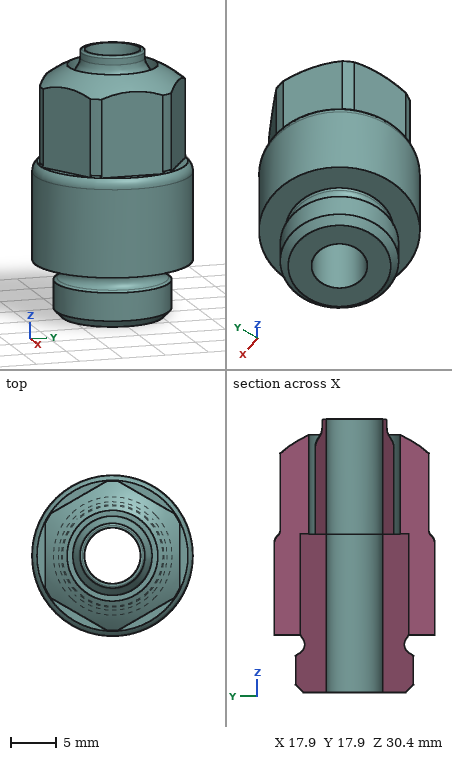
import cadquery as cq
import math

total_height = 30.4
nut_top_z = 28.67
relief_top_z = 17.85
collar_top_z = 17.6
collar_round_z = 16.48
collar_bottom_z = 6.38
groove_top_z = 6.15
groove_waist_z = 5.38
groove_bottom_z = 4.35
thread_top_z = 4.1

across_flats = 15.0
corner_diameter = 16.6
dome_radius = 12.45
mouth_diameter = 10.1
collar_diameter = 17.9
shoulder_diameter = 16.78

thread_diameter = 13.15
end_chamfer = 0.88
shank_diameter = 12.07
groove_top_diameter = 11.83
waist_diameter = 11.15
groove_bottom_diameter = 12.4

bore_diameter = 6.2
tip_diameter = 7.2
stem_diameter = 8.82
tip_edge_round = 0.2
flare_top_z = 29.45
flare_bottom_z = 27.2


def revolve_about_z(outline):
    """Turn a closed outline drawn as (radius, height) about the Z axis."""
    return outline.close().revolve(360, (0, 0, 0), (0, 1, 0))


def cylinder(diameter, bottom_z, top_z):
    return cq.Workplane("XY").workplane(offset=bottom_z).circle(diameter / 2).extrude(top_z - bottom_z)


def arc_middle(center, radius, start_angle, end_angle):
    """Point halfway along an arc, with the angles in radians."""
    angle = (start_angle + end_angle) / 2
    return (center[0] + radius * math.cos(angle), center[1] + radius * math.sin(angle))


def make_nut_blank():
    """Turned outside of the nut: collar, corner cylinder and spherical dome."""
    mouth_r = mouth_diameter / 2
    corner_r = corner_diameter / 2
    shoulder_r = shoulder_diameter / 2
    collar_r = collar_diameter / 2

    edge_rise = collar_top_z - collar_round_z
    edge_inset = collar_r - shoulder_r
    edge_radius = (edge_rise**2 + edge_inset**2) / (2 * edge_inset)
    edge_center = (collar_r - edge_radius, collar_round_z)
    edge_middle = arc_middle(edge_center, edge_radius, 0, math.asin(edge_rise / edge_radius))

    dome_top_angle = math.acos(mouth_r / dome_radius)
    dome_bottom_angle = math.acos(corner_r / dome_radius)
    dome_center_z = nut_top_z - dome_radius * math.sin(dome_top_angle)
    dome_bottom_z = dome_center_z + dome_radius * math.sin(dome_bottom_angle)
    dome_middle = arc_middle((0, dome_center_z), dome_radius, dome_bottom_angle, dome_top_angle)

    outline = (
        cq.Workplane("XZ")
        .moveTo(0, collar_bottom_z)
        .lineTo(collar_r, collar_bottom_z)
        .lineTo(collar_r, collar_round_z)
        .threePointArc(edge_middle, (shoulder_r, collar_top_z))
        .lineTo(corner_r, relief_top_z)
        .lineTo(corner_r, dome_bottom_z)
        .threePointArc(dome_middle, (mouth_r, nut_top_z))
        .lineTo(0, nut_top_z)
    )
    return revolve_about_z(outline)


def make_flats_cutter():
    """Ring above the shoulder that leaves a hexagon with corners on the Y axis."""
    hexagon = (
        cq.Workplane("XY")
        .workplane(offset=collar_top_z)
        .transformed(rotate=(0, 0, 90))
        .polygon(6, across_flats / math.cos(math.pi / 6))
        .extrude(nut_top_z - collar_top_z)
    )
    return cylinder(collar_diameter, collar_top_z, nut_top_z).cut(hexagon)


def make_nut():
    hose_mouth = cylinder(mouth_diameter, collar_top_z, nut_top_z)
    shank_socket = cylinder(shank_diameter, collar_bottom_z, collar_top_z)
    return make_nut_blank().cut(make_flats_cutter()).cut(hose_mouth).cut(shank_socket)


def make_spigot():
    """Threaded end with a round relief groove and a shank inside the nut."""
    bore_r = bore_diameter / 2
    thread_r = thread_diameter / 2
    shank_r = shank_diameter / 2
    outline = (
        cq.Workplane("XZ")
        .moveTo(bore_r, 0)
        .lineTo(thread_r - end_chamfer, 0)
        .lineTo(thread_r, end_chamfer)
        .lineTo(thread_r, thread_top_z)
        .lineTo(groove_bottom_diameter / 2, groove_bottom_z)
        .threePointArc((waist_diameter / 2, groove_waist_z), (groove_top_diameter / 2, groove_top_z))
        .lineTo(shank_r, collar_bottom_z)
        .lineTo(shank_r, collar_top_z)
        .lineTo(bore_r, collar_top_z)
    )
    return revolve_about_z(outline)


def make_stem():
    """Hose stem standing on the shank, with a narrow tip and a S-shaped flare."""
    bore_r = bore_diameter / 2
    tip_r = tip_diameter / 2
    stem_r = stem_diameter / 2
    upward = (0, 1)
    outline = (
        cq.Workplane("XZ")
        .moveTo(bore_r, collar_top_z)
        .lineTo(stem_r, collar_top_z)
        .lineTo(stem_r, flare_bottom_z)
        .spline([(tip_r, flare_top_z)], tangents=[upward, upward], includeCurrent=True)
        .lineTo(tip_r, total_height - tip_edge_round)
        .radiusArc((tip_r - tip_edge_round, total_height), -tip_edge_round)
        .lineTo(bore_r, total_height)
    )
    return revolve_about_z(outline)


nut = make_nut()
spigot = make_spigot()
stem = make_stem()

result = cq.Compound.makeCompound([nut.val(), spigot.val(), stem.val()])